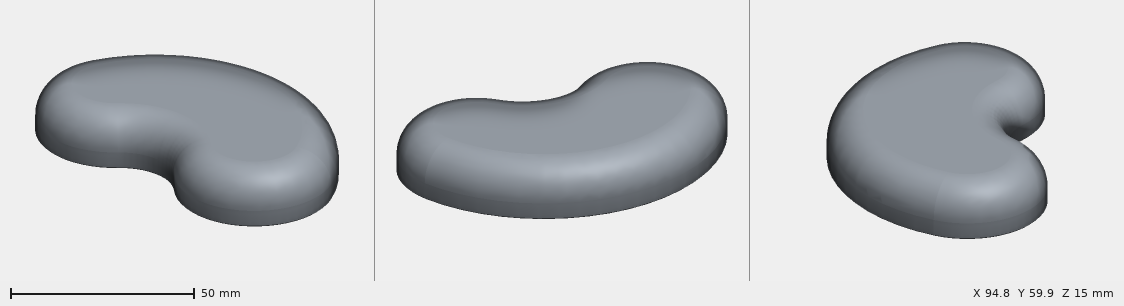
import cadquery as cq
import math

length = 94.8
depth = 59.9
height = 15.0

lobe_radius = 21.9
waist_y = -11.6
lobe_x = length / 2 - lobe_radius
back_y = depth - lobe_radius

top_fillet = 10.0
bottom_chamfer = 0.5

back_radius = (lobe_x**2 + back_y**2 - lobe_radius**2) / (2 * (back_y - lobe_radius))
back_center_y = back_y - back_radius
waist_radius = (lobe_x**2 + waist_y**2 - lobe_radius**2) / (2 * (lobe_radius + waist_y))
waist_center_y = waist_y - waist_radius


def lobe_point(angle):
    """Point on the right lobe at an angle in radians from +X."""
    return (lobe_x + lobe_radius * math.cos(angle), lobe_radius * math.sin(angle))


def mirrored(point):
    return (-point[0], point[1])


back_angle = math.atan2(-back_center_y, lobe_x)
waist_angle = math.atan2(waist_center_y, -lobe_x)
back_joint = lobe_point(back_angle)
lobe_bottom = lobe_point(-math.pi / 2)
waist_joint = lobe_point(waist_angle)

outline = (
    cq.Workplane("XY")
    .moveTo(*mirrored(back_joint))
    .threePointArc((0, back_y), back_joint)
    .threePointArc(lobe_bottom, waist_joint)
    .threePointArc((0, waist_y), mirrored(waist_joint))
    .threePointArc(mirrored(lobe_bottom), mirrored(back_joint))
    .close()
)

body = outline.extrude(height)
rounded = body.faces(">Z").edges().fillet(top_fillet)
result = rounded.faces("<Z").edges().chamfer(bottom_chamfer)